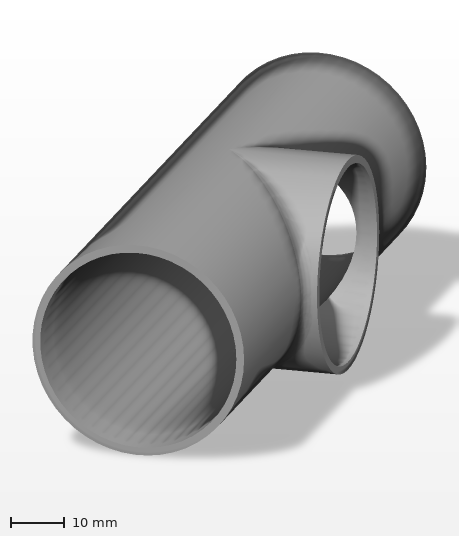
import cadquery as cq

outer_diameter = 41.0
bore_diameter = 38.0
run_length = 120.0
branch_reach = 23.0
joint_fillet = 2.0


def run_cylinder(diameter):
    """Cylinder along the Y axis, centred on the origin."""
    return cq.Workplane("XZ").circle(diameter / 2).extrude(run_length / 2, both=True)


def branch_cylinder(diameter):
    """Cylinder from the run axis out to the branch end face."""
    return cq.Workplane("YZ").circle(diameter / 2).extrude(branch_reach)


def tee_shape(diameter):
    """Run and branch cylinders of one diameter, joined."""
    return run_cylinder(diameter).union(branch_cylinder(diameter))


def blended_outside():
    """Solid outer shape of the tee; the elliptical edges of the joint are filleted."""
    return tee_shape(outer_diameter).edges("%ELLIPSE").fillet(joint_fillet)


result = blended_outside().cut(tee_shape(bore_diameter))